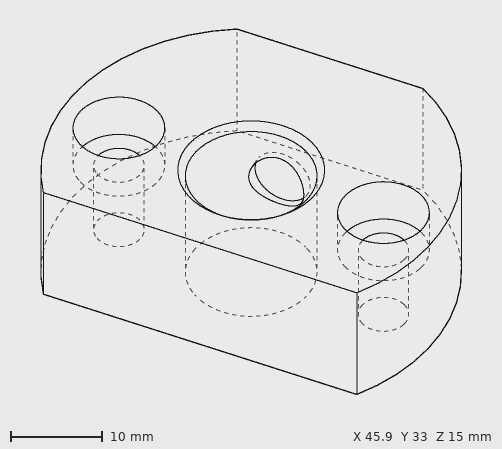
import cadquery as cq

body_diameter = 45.9
height = 15.0
back_flat_y = 20.0
front_flat_y = -13.0

bore_diameter = 14.35
bore_chamfer = 0.83
countersink_angle = 90

screw_offset = 15.98
screw_diameter = 5.5
counterbore_diameter = 10.0
counterbore_depth = 5.5

pocket_diameter = 6.65
pocket_floor_y = 8.0
pocket_z = height / 2


def make_body():
    disc = cq.Workplane("XY").circle(body_diameter / 2).extrude(height)
    depth = back_flat_y - front_flat_y
    flats = (
        cq.Workplane("XY")
        .center(0, (back_flat_y + front_flat_y) / 2)
        .rect(body_diameter, depth)
        .extrude(height)
    )
    return disc.intersect(flats)


def cut_bore(body):
    top = body.faces(">Z").workplane(origin=(0, 0, height))
    return top.cskHole(bore_diameter, bore_diameter + 2 * bore_chamfer, countersink_angle)


def cut_screw_holes(body):
    return (
        body.faces(">Z")
        .workplane(origin=(0, 0, height))
        .pushPoints([(-screw_offset, 0), (screw_offset, 0)])
        .cboreHole(screw_diameter, counterbore_diameter, counterbore_depth)
    )


def cut_pocket(body):
    pocket = (
        cq.Workplane("XZ")
        .center(0, pocket_z)
        .circle(pocket_diameter / 2)
        .extrude(-pocket_floor_y)
    )
    return body.cut(pocket)


result = cut_pocket(cut_screw_holes(cut_bore(make_body())))